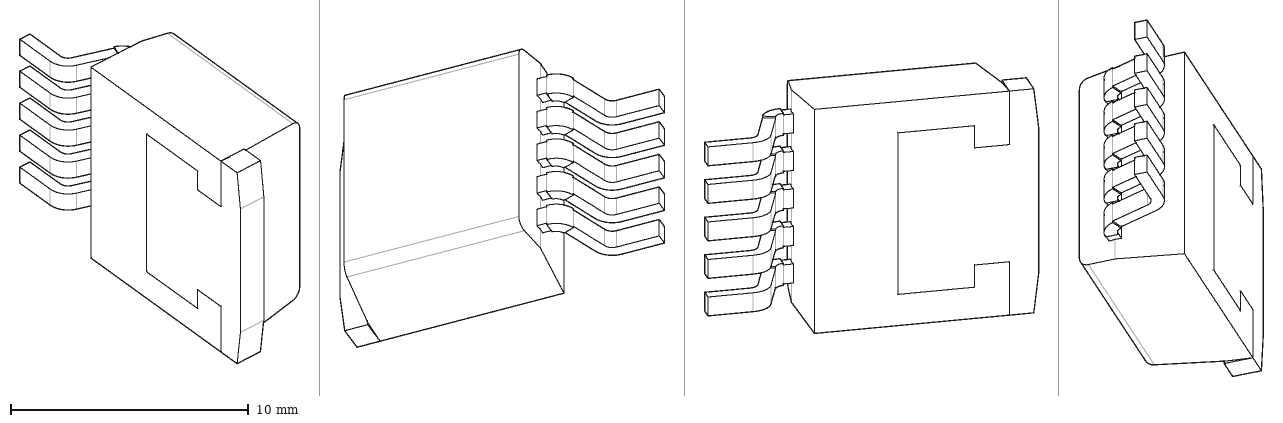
import cadquery as cq
import math


LENGTH = 14.35
DEPTH = 4.7
HEIGHT = 10.16

PARTING_Y = 3.01
NOSE_X = 4.38
LEAD_SIDE_X = 4.62
TAB_SIDE_X = 13.07
TAB_SIDE_TOP_X = 12.65
END_DRAFT = 5.0
TOP_EDGE_RADIUS = 0.47

TAB_THICKNESS = 1.29
TAB_PAD_X = 8.24
TAB_NECK_X = 11.57
TAB_PAD_HEIGHT = 7.32
TAB_NECK_HEIGHT = 5.31
TAB_SLOPE_LENGTH = 0.22
TAB_FLAT_HEIGHT = 6.57

LEAD_COUNT = 5
LEAD_SPAN = 6.8
LEAD_THICKNESS = 0.56
LEAD_WIDTH = 0.86
SHOULDER_WIDTH = 1.0
FOOT_LENGTH = 1.97
BEND_RADIUS = 0.72
BEND_ANGLE = 70.0

INNER_RADIUS = BEND_RADIUS - LEAD_THICKNESS / 2
OUTER_RADIUS = BEND_RADIUS + LEAD_THICKNESS / 2
LEAD_PITCH = LEAD_SPAN / (LEAD_COUNT - 1)
FOOT_Y = LEAD_THICKNESS / 2
BEND_RUN = BEND_RADIUS * math.sin(math.radians(BEND_ANGLE))
BEND_RISE = BEND_RADIUS * (1 - math.cos(math.radians(BEND_ANGLE)))
SLANT_RISE = PARTING_Y - FOOT_Y - 2 * BEND_RISE
SLANT_RUN = SLANT_RISE / math.tan(math.radians(BEND_ANGLE))
ROOT_X = FOOT_LENGTH + SLANT_RUN + 2 * BEND_RUN


def plate(outline, height):
    """Extrude a closed outline in the XY plane symmetrically about Z = 0."""
    return outline.extrude(height / 2, both=True)


def make_solid_housing():
    """Housing without its tab recess: a side outline trimmed by the drafted ends."""
    side_points = [
        (LEAD_SIDE_X, 0),
        (TAB_SIDE_X, 0),
        (TAB_SIDE_X, TAB_THICKNESS),
        (TAB_SIDE_TOP_X, DEPTH),
        (LEAD_SIDE_X, DEPTH),
        (NOSE_X, PARTING_Y),
    ]
    side = plate(cq.Workplane("XY").polyline(side_points).close(), HEIGHT)

    bottom_z = HEIGHT / 2
    top_z = bottom_z - DEPTH * math.tan(math.radians(END_DRAFT))
    end_points = [(0, -bottom_z), (0, bottom_z), (DEPTH, top_z), (DEPTH, -top_z)]
    ends = (
        cq.Workplane("YZ")
        .polyline(end_points)
        .close()
        .extrude(LENGTH)
        .faces(">Y")
        .edges("|X")
        .fillet(TOP_EDGE_RADIUS)
    )
    return side.intersect(ends)


def make_tab():
    """Heat tab: a wide pad, a narrow neck and a full-height outer bar."""
    upper_points = [
        (TAB_PAD_X, TAB_PAD_HEIGHT / 2),
        (TAB_NECK_X, TAB_PAD_HEIGHT / 2),
        (TAB_NECK_X, TAB_NECK_HEIGHT / 2),
        (TAB_SIDE_X, TAB_NECK_HEIGHT / 2),
        (TAB_SIDE_X, HEIGHT / 2),
        (LENGTH - TAB_SLOPE_LENGTH, HEIGHT / 2),
        (LENGTH, TAB_FLAT_HEIGHT / 2),
    ]
    lower_points = [(x, -z) for x, z in reversed(upper_points)]
    outline = cq.Workplane("XZ").polyline(upper_points + lower_points).close()
    return outline.extrude(-TAB_THICKNESS)


def bend_point(centre, radius, degrees):
    """Point on a bend, at an angle measured from +X about the bend centre."""
    angle = math.radians(degrees)
    return (centre[0] + radius * math.cos(angle), centre[1] + radius * math.sin(angle))


def make_bend(centre, start_angle, width):
    """Ring sector turning through the bend angle from the given start angle."""
    middle_angle = start_angle + BEND_ANGLE / 2
    end_angle = start_angle + BEND_ANGLE
    outline = (
        cq.Workplane("XY")
        .moveTo(*bend_point(centre, OUTER_RADIUS, start_angle))
        .threePointArc(
            bend_point(centre, OUTER_RADIUS, middle_angle),
            bend_point(centre, OUTER_RADIUS, end_angle),
        )
        .lineTo(*bend_point(centre, INNER_RADIUS, end_angle))
        .threePointArc(
            bend_point(centre, INNER_RADIUS, middle_angle),
            bend_point(centre, INNER_RADIUS, start_angle),
        )
        .close()
    )
    return plate(outline, width)


def make_lead(solid_housing):
    """Gull-wing lead at Z = 0 with a wide upper bend, ending on the housing face."""
    lower_centre = (FOOT_LENGTH, FOOT_Y + BEND_RADIUS)
    upper_centre = (ROOT_X, PARTING_Y - BEND_RADIUS)
    lower_start = -90.0
    lower_end = lower_start + BEND_ANGLE
    upper_start = 90.0
    upper_end = upper_start + BEND_ANGLE

    foot = plate(
        cq.Workplane("XY").rect(FOOT_LENGTH, LEAD_THICKNESS, centered=False),
        LEAD_WIDTH,
    )
    lower_bend = make_bend(lower_centre, lower_start, LEAD_WIDTH)
    slant_points = [
        bend_point(lower_centre, OUTER_RADIUS, lower_end),
        bend_point(lower_centre, INNER_RADIUS, lower_end),
        bend_point(upper_centre, OUTER_RADIUS, upper_end),
        bend_point(upper_centre, INNER_RADIUS, upper_end),
    ]
    slant = plate(cq.Workplane("XY").polyline(slant_points).close(), LEAD_WIDTH)
    upper_bend = make_bend(upper_centre, upper_start, SHOULDER_WIDTH)
    root = plate(
        cq.Workplane("XY")
        .moveTo(ROOT_X, PARTING_Y - LEAD_THICKNESS / 2)
        .rect(LEAD_SIDE_X - ROOT_X, LEAD_THICKNESS, centered=False),
        LEAD_WIDTH,
    )
    lead = foot.union(lower_bend).union(slant).union(upper_bend).union(root)
    return lead.cut(solid_housing)


solid_housing = make_solid_housing()
tab = make_tab()
housing = solid_housing.cut(tab)

lead = make_lead(solid_housing)
leads = []
for index in range(LEAD_COUNT):
    lead_z = (index - (LEAD_COUNT - 1) / 2) * LEAD_PITCH
    leads.append(lead.translate((0, 0, lead_z)).val())

result = cq.Compound.makeCompound([housing.val(), tab.val(), *leads])